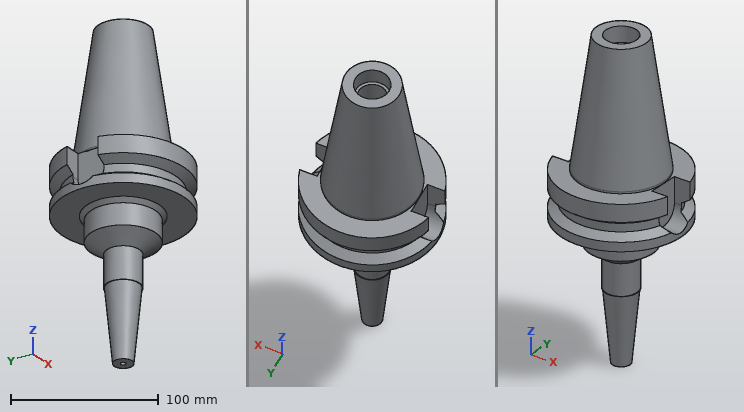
import cadquery as cq

total_height = 251.8
neck_bottom_z = 57.5
neck_top_z = 82.8
hub_bottom_z = 92.0
hub_top_z = 108.8
flange_bottom_z = 112.0
groove_lower_edge_z = 119.4
groove_floor_bottom_z = 123.6
groove_floor_top_z = 130.2
groove_upper_edge_z = 134.7
flange_top_z = 148.5
gauge_z = 150.0

tip_radius = 7.3
nose_radius = 12.8
neck_radius = 13.3
hub_radius = 26.5
hub_collar_radius = 29.7
flange_radius = 49.98
groove_radius = 43.0
gauge_radius = 35.0
taper_top_radius = 20.5

bore_radius = 12.5
bore_depth = 12.5
thread_radius = 10.3
thread_depth = 50.4
coolant_radius = 2.0

slot_width = 25.5
slot_bottom_z = 115.5
slot_floor_x = 35.3


def revolved_body():
    """Solid of revolution: nose, neck, hub, grooved flange and taper."""
    profile = [
        (0, 0),
        (tip_radius, 0),
        (nose_radius, neck_bottom_z),
        (neck_radius, neck_bottom_z),
        (neck_radius, neck_top_z),
        (hub_radius, hub_bottom_z),
        (hub_radius, hub_top_z),
        (hub_collar_radius, flange_bottom_z),
        (flange_radius, flange_bottom_z),
        (flange_radius, groove_lower_edge_z),
        (groove_radius, groove_floor_bottom_z),
        (groove_radius, groove_floor_top_z),
        (flange_radius, groove_upper_edge_z),
        (flange_radius, flange_top_z),
        (gauge_radius, flange_top_z),
        (gauge_radius, gauge_z),
        (taper_top_radius, total_height),
        (0, total_height),
    ]
    return cq.Workplane("XZ").polyline(profile).close().revolve(360, (0, 0), (0, 1))


def axial_hole(radius, depth):
    """Cylinder reaching down from the top face along the axis."""
    return cq.Workplane("XY").workplane(offset=total_height).circle(radius).extrude(-depth)


def drive_slot(side):
    """Round-bottomed slot cutter; side is +1 or -1 along X."""
    half_width = slot_width / 2
    arc_center_z = slot_bottom_z + half_width
    return (
        cq.Workplane("YZ", origin=(side * slot_floor_x, 0, 0))
        .moveTo(-half_width, flange_top_z)
        .lineTo(-half_width, arc_center_z)
        .threePointArc((0, slot_bottom_z), (half_width, arc_center_z))
        .lineTo(half_width, flange_top_z)
        .close()
        .extrude(side * flange_radius)
    )


result = revolved_body()
for hole_radius, hole_depth in (
    (bore_radius, bore_depth),
    (thread_radius, thread_depth),
    (coolant_radius, total_height),
):
    result = result.cut(axial_hole(hole_radius, hole_depth))
for slot_side in (-1, 1):
    result = result.cut(drive_slot(slot_side))